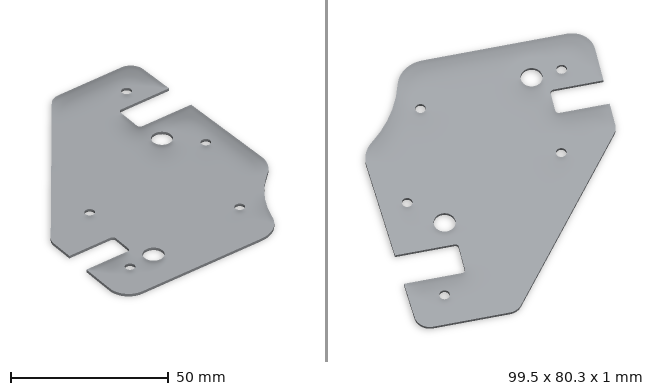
import cadquery as cq
import math

length = 99.5
width = 80.3
thickness = 1.0

left_edge_bottom = 45.5
bottom_edge_start = 60.7
top_edge_rise = math.radians(2.3)

left_radius = 5.0
bottom_left_radius = 5.0
bottom_right_radius = 7.5

lobe_radius = 9.9
hollow_radius = 39.8
top_lobe = (65.0, width - lobe_radius)
right_lobe = (length - lobe_radius, 54.4)

slot_corner_radius = 1.2
top_slot_left, top_slot_right, top_slot_floor = 17.9, 29.0, 58.4
bottom_slot_left, bottom_slot_right, bottom_slot_floor = 70.6, 79.7, 17.4

small_hole_diameter = 3.4
small_hole_centers = [(11.0, 66.7), (47.8, 70.7), (81.8, 58.9), (55.8, 19.0), (86.6, 12.0)]
large_hole_diameter = 7.0
large_hole_centers = [(37.9, 60.8), (85.7, 22.0)]


def point_on_circle(center, radius, angle):
    return (center[0] + radius * math.cos(angle), center[1] + radius * math.sin(angle))


def hollow_geometry():
    """Center of the hollow arc and the directions from it to the two lobes."""
    lobe_dx = right_lobe[0] - top_lobe[0]
    lobe_dy = right_lobe[1] - top_lobe[1]
    half_span = math.hypot(lobe_dx, lobe_dy) / 2
    offset = math.sqrt((hollow_radius + lobe_radius) ** 2 - half_span**2)
    outward = math.atan2(lobe_dy, lobe_dx) + math.pi / 2
    middle = ((top_lobe[0] + right_lobe[0]) / 2, (top_lobe[1] + right_lobe[1]) / 2)
    center = point_on_circle(middle, offset, outward)
    to_top = math.atan2(top_lobe[1] - center[1], top_lobe[0] - center[0])
    to_right = math.atan2(right_lobe[1] - center[1], right_lobe[0] - center[0])
    return center, to_top, to_right


def make_plate():
    center, to_top, to_right = hollow_geometry()
    top_edge_normal = math.pi / 2 + top_edge_rise
    top_lobe_end = to_top + math.pi
    right_lobe_start = to_right + math.pi

    top_edge_end = point_on_circle(top_lobe, lobe_radius, top_edge_normal)
    top_lobe_middle = point_on_circle(top_lobe, lobe_radius, (top_edge_normal + top_lobe_end) / 2)
    hollow_start = point_on_circle(center, hollow_radius, to_top)
    hollow_middle = point_on_circle(center, hollow_radius, (to_top + to_right) / 2)
    hollow_end = point_on_circle(center, hollow_radius, to_right)
    right_lobe_middle = point_on_circle(right_lobe, lobe_radius, right_lobe_start / 2)
    left_edge_top = top_edge_end[1] - top_edge_end[0] * math.tan(top_edge_rise)

    plate = (
        cq.Workplane("XY")
        .moveTo(bottom_edge_start, 0)
        .lineTo(0, left_edge_bottom)
        .lineTo(0, left_edge_top)
        .lineTo(*top_edge_end)
        .threePointArc(top_lobe_middle, hollow_start)
        .threePointArc(hollow_middle, hollow_end)
        .threePointArc(right_lobe_middle, (length, right_lobe[1]))
        .lineTo(length, 0)
        .close()
        .extrude(thickness)
    )
    plate = plate.edges("|Z and <X").fillet(left_radius)
    plate = plate.edges(cq.NearestToPointSelector((bottom_edge_start, 0, thickness / 2)))
    plate = plate.fillet(bottom_left_radius)
    plate = plate.edges(cq.NearestToPointSelector((length, 0, thickness / 2)))
    return plate.fillet(bottom_right_radius)


def slot_cutter(left, right, bottom, top, rounded_end):
    """Rectangular cutter whose inner end has rounded corners."""
    cutter = cq.Workplane("XY").box(right - left, top - bottom, thickness, centered=False)
    cutter = cutter.edges("|Z").edges(rounded_end).fillet(slot_corner_radius)
    return cutter.translate((left, bottom, 0))


def hole_cutter(centers, diameter):
    return cq.Workplane("XY").pushPoints(centers).circle(diameter / 2).extrude(thickness)


result = (
    make_plate()
    .cut(slot_cutter(top_slot_left, top_slot_right, top_slot_floor, width, "<Y"))
    .cut(slot_cutter(bottom_slot_left, bottom_slot_right, 0, bottom_slot_floor, ">Y"))
    .cut(hole_cutter(small_hole_centers, small_hole_diameter))
    .cut(hole_cutter(large_hole_centers, large_hole_diameter))
)